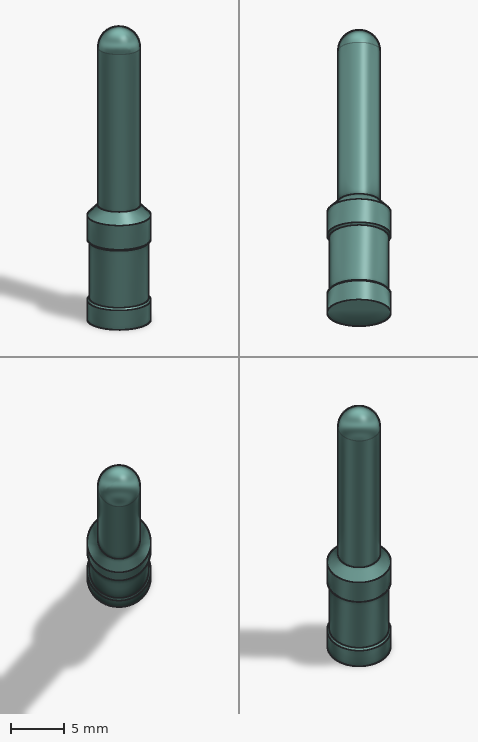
import cadquery as cq
import math

pin_diameter = 4.0
collar_diameter = 6.0
neck_diameter = 5.6

total_length = 29.1
lower_collar_top = 1.95
upper_collar_bottom = 8.0
upper_collar_top = 10.4

pin_radius = pin_diameter / 2
collar_radius = collar_diameter / 2
neck_radius = neck_diameter / 2

neck_bottom = lower_collar_top + (collar_radius - neck_radius)
neck_top = upper_collar_bottom - (collar_radius - neck_radius)
shoulder_top = upper_collar_top + (collar_radius - pin_radius)

dome_start = total_length - pin_radius
dome_mid_offset = pin_radius * math.sin(math.radians(45))


def turned_pin():
    """Revolve the half section of the contact pin about Z."""
    section = (
        cq.Workplane("XZ")
        .moveTo(0, 0)
        .lineTo(collar_radius, 0)
        .lineTo(collar_radius, lower_collar_top)
        .lineTo(neck_radius, neck_bottom)
        .lineTo(neck_radius, neck_top)
        .lineTo(collar_radius, upper_collar_bottom)
        .lineTo(collar_radius, upper_collar_top)
        .lineTo(pin_radius, shoulder_top)
        .lineTo(pin_radius, dome_start)
        .threePointArc((dome_mid_offset, dome_start + dome_mid_offset), (0, total_length))
        .close()
    )
    return section.revolve(360, (0, 0, 0), (0, 1, 0))


result = turned_pin()